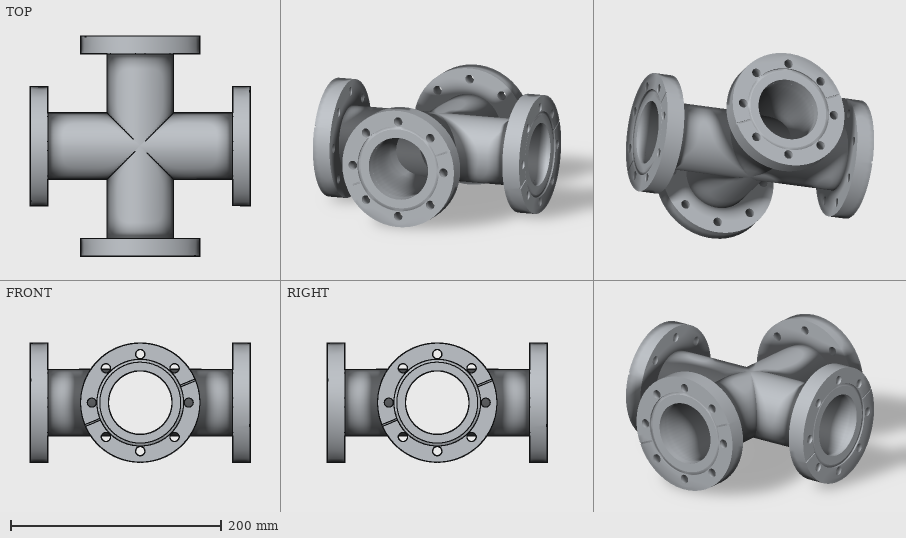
import cadquery as cq
import math

span = 209.6
half_span = span / 2

tube_diameter = 63.5
bore_diameter = 60.2

flange_diameter = 113.5
flange_thickness = 17.0
tube_end_depth = 9.2

bolt_count = 8
bolt_circle_diameter = 92.2
bolt_hole_diameter = 8.6

recess_diameter = 82.5
knife_edge_diameter = 77.0
knife_edge_depth = 0.9
knife_slope_angle = 20.0
knife_slope_drop = (recess_diameter - knife_edge_diameter) / 2 * math.tan(math.radians(knife_slope_angle))
recess_depth = knife_edge_depth + knife_slope_drop

leak_groove_width = 1.7
leak_groove_depth = 1.0
leak_groove_angle = 22.5

branch_angles = [0, 90, 180, 270]


def branch_cylinders(diameter, half_length):
    """Two crossing cylinders, one along X and one along Y."""
    along_x = cq.Workplane("YZ").circle(diameter / 2).extrude(half_length, both=True)
    along_y = cq.Workplane("XZ").circle(diameter / 2).extrude(half_length, both=True)
    return along_x.union(along_y)


def make_cross():
    """Four-way tube cross with mitred intersections and open ends."""
    half_length = half_span - tube_end_depth
    outside = branch_cylinders(tube_diameter, half_length)
    inside = branch_cylinders(bore_diameter, half_length)
    return outside.cut(inside)


def flange_body():
    """Flange turned about the Y axis, with its outer face at y = -half_span."""
    face = -half_span
    back = face + flange_thickness
    tube_end = face + tube_end_depth
    crest = face + knife_edge_depth
    profile = [
        (bore_diameter / 2, crest),
        (knife_edge_diameter / 2, crest),
        (recess_diameter / 2, face + recess_depth),
        (recess_diameter / 2, face),
        (flange_diameter / 2, face),
        (flange_diameter / 2, back),
        (tube_diameter / 2, back),
        (tube_diameter / 2, tube_end),
        (bore_diameter / 2, tube_end),
    ]
    return cq.Workplane("XY").polyline(profile).close().revolve(360, (0, 0, 0), (0, 1, 0))


def bolt_holes():
    """Ring of through holes in the front flange."""
    return (
        cq.Workplane("XZ", origin=(0, -half_span, 0))
        .polarArray(bolt_circle_diameter / 2, 0, 360, bolt_count)
        .circle(bolt_hole_diameter / 2)
        .extrude(-flange_thickness)
    )


def leak_grooves():
    """Two opposite radial grooves from the gasket recess out through the rim."""
    bar = (
        cq.Workplane("XZ", origin=(0, -half_span, 0))
        .rect(flange_diameter, leak_groove_width)
        .extrude(-leak_groove_depth)
    )
    recess_core = (
        cq.Workplane("XZ", origin=(0, -half_span, 0))
        .circle(recess_diameter / 2)
        .extrude(-leak_groove_depth)
    )
    return bar.cut(recess_core).rotate((0, 0, 0), (0, 1, 0), -leak_groove_angle)


def make_flange():
    """Complete flange for the branch that points toward -Y."""
    return flange_body().cut(bolt_holes()).cut(leak_grooves())


cross = make_cross()
flange = make_flange()
flanges = [flange.rotate((0, 0, 0), (0, 0, 1), angle) for angle in branch_angles]

result = cq.Compound.makeCompound([cross.val(), *[copy.val() for copy in flanges]])